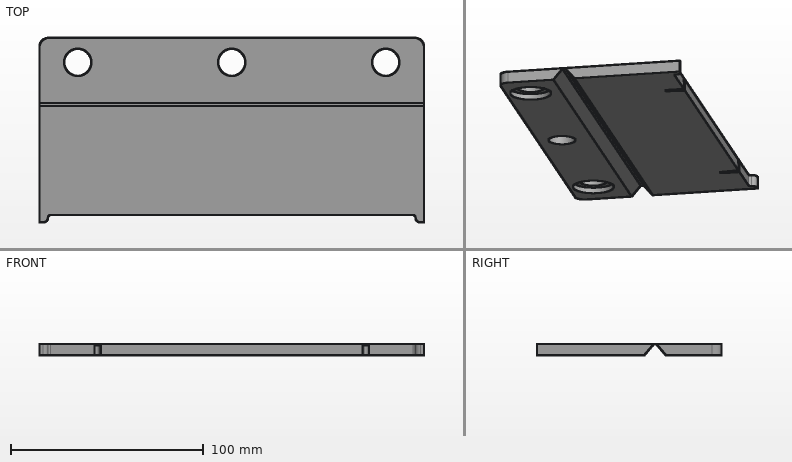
import cadquery as cq

length = 200.0
width = 96.0
thickness = 6.0
corner_radius = 5.0

tab_flat = 2.0
tab_round = 2.5
tab_root_round = 1.2
setback = tab_round + tab_root_round

hole_diameter = 14.0
hole_spacing = 80.0
hole_to_back = 12.8
counterbore_diameter = 21.2
counterbore_depth = 3.0

groove_to_back = 34.5
groove_web = 0.5
groove_depth = thickness - groove_web
groove_top_width = 1.5
groove_bottom_width = 11.2

slit_width = 3.2
slit_offset = 69.5
slit_taper = 0.8
slit_length = 10.0
slit_web = 0.8
slit_depth = thickness - slit_web

front = -width / 2
back = width / 2
half_length = length / 2


def make_plate():
    """Plate with rounded back corners and S-shaped transitions to the tabs."""
    flat_end = half_length - tab_flat
    round_end = flat_end - tab_round
    root_end = round_end - tab_root_round
    edge = front + setback
    diagonal = 0.5 ** 0.5
    round_mid = (flat_end - tab_round * diagonal, front + tab_round * (1 - diagonal))
    root_mid = (root_end + tab_root_round * diagonal, edge - tab_root_round * (1 - diagonal))
    half = (
        cq.Workplane("XY")
        .moveTo(0, back)
        .lineTo(half_length, back)
        .lineTo(half_length, front)
        .lineTo(flat_end, front)
        .threePointArc(round_mid, (round_end, front + tab_round))
        .threePointArc(root_mid, (root_end, edge))
        .lineTo(0, edge)
        .close()
        .extrude(thickness)
    )
    plate = half.union(half.mirror("YZ")).clean()
    return plate.edges("|Z and >Y").fillet(corner_radius)


def make_holes():
    """Three through holes; the outer two are counterbored from below."""
    row = back - hole_to_back
    centres = [(i * hole_spacing, row) for i in (-1, 0, 1)]
    outer_centres = [centres[0], centres[-1]]
    holes = cq.Workplane("XY").pushPoints(centres).circle(hole_diameter / 2).extrude(thickness)
    counterbores = (
        cq.Workplane("XY")
        .pushPoints(outer_centres)
        .circle(counterbore_diameter / 2)
        .extrude(counterbore_depth)
    )
    return holes.union(counterbores)


def make_groove():
    """Tapered groove along the whole length, wide at the underside."""
    middle = back - groove_to_back
    return (
        cq.Workplane("YZ")
        .polyline([
            (middle - groove_bottom_width / 2, 0),
            (middle + groove_bottom_width / 2, 0),
            (middle + groove_top_width / 2, groove_depth),
            (middle - groove_top_width / 2, groove_depth),
        ])
        .close()
        .extrude(half_length, both=True)
    )


def make_slit():
    """Round-ended slit at the +X end; its inner wall leans outward away from the front edge."""
    edge = front + setback
    outer = slit_offset + slit_width / 2
    inner_mouth = slit_offset - slit_width / 2
    inner_tip = inner_mouth + slit_taper
    tip_radius = (outer - inner_tip) / 2
    tip_start = edge + slit_length - tip_radius
    return (
        cq.Workplane("XY")
        .moveTo(inner_mouth, front)
        .lineTo(outer, front)
        .lineTo(outer, tip_start)
        .threePointArc((outer - tip_radius, edge + slit_length), (inner_tip, tip_start))
        .lineTo(inner_mouth, edge)
        .close()
        .extrude(slit_depth)
    )


right_slit = make_slit()
left_slit = right_slit.mirror("YZ")
result = make_plate().cut(make_holes()).cut(make_groove()).cut(right_slit).cut(left_slit)